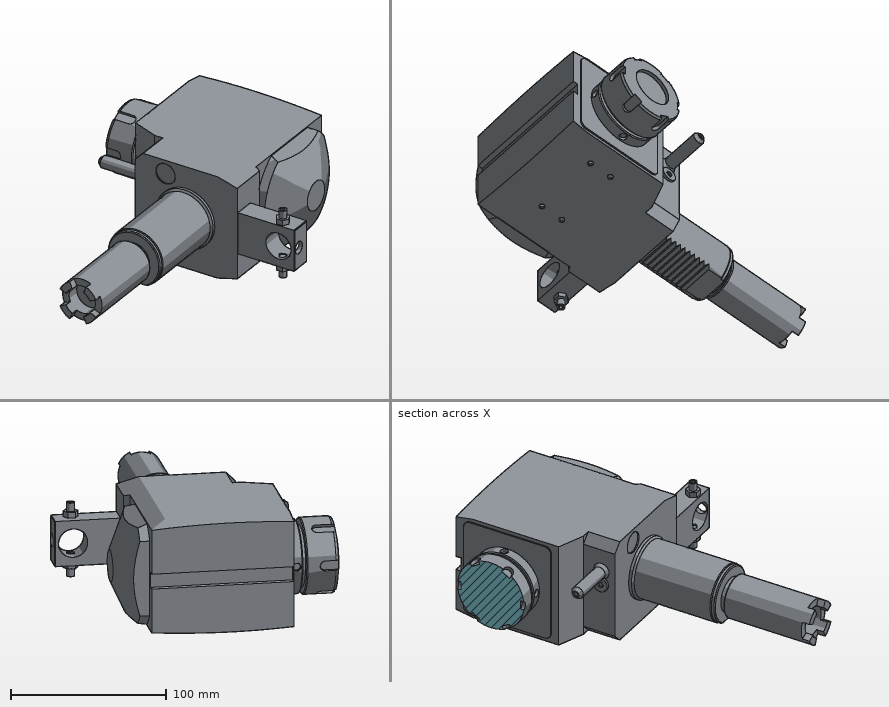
import cadquery as cq
import math

SPINDLE_Y = 68.9

HALF_HEIGHT = 37.6
BODY_LEFT = -58.1
BODY_RIGHT = 35.0
BODY_BACK = 107.7
FOOT_LEFT = -39.0
FOOT_TOP = 23.5
FLANK_TOP = 30.7
FLANGE_RIGHT = 38.8
FLANGE_TOP = 26.7
FLANGE_SLOPE_TOP = 28.8
FOOT_CHAMFER = 6.2
SIDE_SLOPE = 0.27
SIDE_SLOPE_START = 23.8
BACK_ARC_RADIUS = 107.2
BACK_ARC_TOP = 103.2
BACK_SLOPE = 0.19
BACK_SLOT_WIDTH = 10.0
BACK_SLOT_DEPTH = 3.8
PLATE_THICKNESS = 1.0
PLATE_LENGTH = 65.3
PLATE_HEIGHT = 70.0
PLATE_CORNER = 4.5
PLUG_X = -16.0
PLUG_Z = 27.6
PLUG_RADIUS = 7.5
PLUG_DEPTH = 1.0

RIVET_CENTRE_X = -16.7
RIVET_SPACING_X = 47.5
RIVET_SPACING_Y = 17.0
RIVET_RADIUS = 2.0
RIVET_TIP_RADIUS = 1.0
RIVET_HEIGHT = 1.5

CAP_RADIUS = 40.3
CAP_EDGE = 41.5
CAP_END = 55.3
CAP_END_RADIUS = 10.5
CAP_FLAT_Y = 100.3
CAP_INSET = 0.7

NUT_TIP = -91.2
NUT_RIM = -89.8
NUT_SHOULDER = -88.2
NUT_BACK = -69.0
NUT_RADIUS = 25.0
NUT_FACE_RADIUS = 18.0
NUT_RIM_RADIUS = 24.3
NUT_BORE_RADIUS = 13.8
NUT_BORE_DEPTH = 2.5
NUT_SLOTS = 6
NUT_SLOT_WIDTH = 6.7
NUT_SLOT_END = -78.0
NUT_UPPER_SLOT_END = -74.5
NUT_SLOT_FLOOR = 22.5
NUT_CHAMFER = 0.7
NECK_RADIUS = 20.3
RING_FRONT = -66.7
RING_RADIUS = 24.3
RING_HOLES = 4
RING_HOLE_X = -62.7
RING_HOLE_RADIUS = 2.6
RING_HOLE_DEPTH = 2.5

PIN_Y = 10.0
PIN_Z = 15.5
PIN_TIP = -71.7
PIN_RADIUS = 4.3
PIN_TIP_RADIUS = 2.5
PIN_TIP_LENGTH = 2.5
PIN_COLLAR_RADIUS = 5.7
PIN_COLLAR_LENGTH = 2.6
SCREW_Z = 5.7
SCREW_RADIUS = 5.2
SCREW_HEIGHT = 1.7
HEX_SIZE = 4.3
HEX_DEPTH = 1.5

COLLAR_RADIUS = 21.7
COLLAR_LENGTH = 2.1
COLLAR_TAPER_END = 3.3
SHANK_RADIUS = 20.3
SHANK_LENGTH = 63.4
SHANK_LAND = 60.0
SHANK_CHAMFER = 0.7
SHANK_END_RADIUS = 19.8
NECK_LENGTH = 67.0
SHANK_NECK_RADIUS = 12.2
DRIVE_RADIUS = 15.0
DRIVE_SLOT_DEPTH = 5.2
DRIVE_CHAMFER = 0.7
DRIVE_LENGTH = 130.5
DRIVE_BORE_RADIUS = 10.0
DRIVE_BORE_DEPTH = 14.3
DRIVE_SLOTS = 4
DRIVE_SLOT_HALF_ANGLE = 25
FLAT_Z = -16.7
FLAT_START = 8.8
FLAT_RAMP = 3.0
TOOTH_PITCH = 4.0
TOOTH_DEPTH = 2.0
TOOTH_COUNT = 10

ARM_RIGHT = 82.0
ARM_HALF_HEIGHT = 15.2
ARM_FRONT = 0.7
ARM_BACK = 15.7
ARM_CHAMFER = 0.5
ARM_HOLE_X = 69.8
ARM_HOLE_RADIUS = 9.5
SET_SCREW_Y = 6.0
SET_SCREW_RADIUS = 2.6
SET_SCREW_TIP = 24.8
LOCKNUT_ACROSS_CORNERS = 9.5
LOCKNUT_TOP = 19.0
SET_SCREW_INNER_END = 10.2
SET_SCREW_HEX = 3.3
SET_SCREW_HEX_DEPTH = 2.9
ARM_END_HOLE_RADIUS = 4.3


def turned_along_x(points, y, z):
    """Revolve (x, radius) points about the line parallel to X through (y, z)."""
    profile = cq.Workplane("XY").polyline(points).close()
    return profile.revolve(360, (0, 0, 0), (1, 0, 0)).translate((0, y, z))


def box_between(x0, x1, y0, y1, z0, z1):
    return cq.Workplane("XY").box(x1 - x0, y1 - y0, z1 - z0, centered=False).translate((x0, y0, z0))


def side_wedge(inset):
    """Y-long prism whose upper and lower faces slope inward toward +X."""
    top = HALF_HEIGHT - inset
    reach = top / SIDE_SLOPE
    profile = [
        (BODY_LEFT, top),
        (SIDE_SLOPE_START, top),
        (SIDE_SLOPE_START + reach, 0),
        (SIDE_SLOPE_START, -top),
        (BODY_LEFT, -top),
    ]
    return cq.Workplane("XZ").polyline(profile).close().extrude(-BODY_BACK)


def back_cone():
    """Double cone that gives the rear edges of the body their curved bevel."""
    reach = BACK_ARC_RADIUS + HALF_HEIGHT / BACK_SLOPE
    profile = [
        (0, -HALF_HEIGHT),
        (BACK_ARC_RADIUS, -HALF_HEIGHT),
        (reach, 0),
        (BACK_ARC_RADIUS, HALF_HEIGHT),
        (0, HALF_HEIGHT),
    ]
    cone = cq.Workplane("XZ").polyline(profile).close().revolve(360, (0, 0, 0), (0, 1, 0))
    centre_x = (BODY_LEFT + SIDE_SLOPE_START) / 2
    return cone.translate((centre_x, BACK_ARC_TOP - BACK_ARC_RADIUS, 0))


def make_body():
    outline = [
        (FOOT_LEFT, 0),
        (FLANGE_RIGHT, 0),
        (FLANGE_RIGHT, FLANGE_TOP),
        (BODY_RIGHT, FLANGE_SLOPE_TOP),
        (BODY_RIGHT, BODY_BACK),
        (BODY_LEFT, BODY_BACK),
        (BODY_LEFT, FLANK_TOP),
        (FOOT_LEFT, FOOT_TOP),
    ]
    body = cq.Workplane("XY").polyline(outline).close().extrude(HALF_HEIGHT, both=True)
    body = body.intersect(side_wedge(0)).intersect(back_cone())

    for side in (1, -1):
        edge = side * HALF_HEIGHT
        corner = [
            (FOOT_LEFT, edge),
            (FOOT_LEFT + FOOT_CHAMFER, edge),
            (FOOT_LEFT, edge - side * FOOT_CHAMFER),
        ]
        body = body.cut(cq.Workplane("XZ").polyline(corner).close().extrude(-FOOT_TOP))

    half_slot = BACK_SLOT_WIDTH / 2
    body = body.cut(
        box_between(BODY_LEFT, BODY_RIGHT, BODY_BACK - BACK_SLOT_DEPTH, BODY_BACK, -half_slot, half_slot)
    )
    plug = cq.Workplane("XZ").center(PLUG_X, PLUG_Z).circle(PLUG_RADIUS).extrude(-PLUG_DEPTH)
    body = body.cut(plug)

    plate = (
        cq.Workplane("YZ", origin=(BODY_LEFT, SPINDLE_Y, 0))
        .rect(PLATE_LENGTH, PLATE_HEIGHT)
        .extrude(-PLATE_THICKNESS)
        .edges("|X")
        .fillet(PLATE_CORNER)
    )
    return body.union(plate)


def make_rivets():
    rivets = (
        cq.Workplane("XY", origin=(RIVET_CENTRE_X, SPINDLE_Y, -HALF_HEIGHT))
        .rarray(RIVET_SPACING_X, RIVET_SPACING_Y, 2, 2)
        .circle(RIVET_RADIUS)
        .extrude(-RIVET_HEIGHT)
    )
    return rivets.faces("<Z").chamfer(RIVET_RADIUS - RIVET_TIP_RADIUS)


def make_cap():
    profile = [
        (BODY_RIGHT, 0),
        (BODY_RIGHT, CAP_RADIUS),
        (CAP_EDGE, CAP_RADIUS),
        (CAP_END, CAP_END_RADIUS),
        (CAP_END, 0),
    ]
    cap = turned_along_x(profile, SPINDLE_Y, 0)
    cap = cap.intersect(side_wedge(CAP_INSET))
    return cap.intersect(box_between(BODY_RIGHT, CAP_END, 0, CAP_FLAT_Y, -HALF_HEIGHT, HALF_HEIGHT))


def nut_slot(end):
    """Round-ended wrench slot on the -Y side of the nut, running from the tip to x = end."""
    slot_round = NUT_SLOT_WIDTH / 2
    return (
        cq.Workplane("XZ", origin=(0, -NUT_SLOT_FLOOR, 0))
        .moveTo(NUT_TIP, -slot_round)
        .lineTo(end - slot_round, -slot_round)
        .threePointArc((end, 0), (end - slot_round, slot_round))
        .lineTo(NUT_TIP, slot_round)
        .close()
        .extrude(NUT_RADIUS)
    )


def make_collet_nut():
    profile = [
        (BODY_LEFT, 0),
        (BODY_LEFT, RING_RADIUS),
        (RING_FRONT + NUT_CHAMFER, RING_RADIUS),
        (RING_FRONT, RING_RADIUS - NUT_CHAMFER),
        (RING_FRONT, NECK_RADIUS),
        (NUT_BACK, NECK_RADIUS),
        (NUT_BACK, NUT_RADIUS - NUT_CHAMFER),
        (NUT_BACK - NUT_CHAMFER, NUT_RADIUS),
        (NUT_SHOULDER, NUT_RADIUS),
        (NUT_RIM, NUT_RIM_RADIUS),
        (NUT_TIP, NUT_FACE_RADIUS),
        (NUT_TIP, NUT_BORE_RADIUS),
        (NUT_TIP + NUT_BORE_DEPTH, NUT_BORE_RADIUS),
        (NUT_TIP + NUT_BORE_DEPTH, 0),
    ]
    nut = turned_along_x(profile, 0, 0)

    for i in range(NUT_SLOTS):
        angle = i * 360 / NUT_SLOTS
        opens_upward = 180 < angle < 360
        slot = nut_slot(NUT_UPPER_SLOT_END if opens_upward else NUT_SLOT_END)
        nut = nut.cut(slot.rotate((0, 0, 0), (1, 0, 0), angle))

    hole = (
        cq.Workplane("XZ", origin=(0, RING_HOLE_DEPTH - RING_RADIUS, 0))
        .center(RING_HOLE_X, 0)
        .circle(RING_HOLE_RADIUS)
        .extrude(RING_RADIUS)
    )
    for i in range(RING_HOLES):
        nut = nut.cut(hole.rotate((0, 0, 0), (1, 0, 0), i * 360 / RING_HOLES))
    return nut.translate((0, SPINDLE_Y, 0))


def hex_socket_along_x(x, z):
    hexagon = cq.Workplane("YZ", origin=(x, PIN_Y, z)).polygon(6, HEX_SIZE)
    return hexagon.extrude(HEX_DEPTH)


def make_coolant_pin():
    collar_start = FOOT_LEFT - PIN_COLLAR_LENGTH
    profile = [
        (FOOT_LEFT, 0),
        (FOOT_LEFT, PIN_COLLAR_RADIUS),
        (collar_start, PIN_RADIUS),
        (PIN_TIP + PIN_TIP_LENGTH, PIN_RADIUS),
        (PIN_TIP, PIN_TIP_RADIUS),
        (PIN_TIP, 0),
    ]
    pin = turned_along_x(profile, PIN_Y, PIN_Z)
    screw_face = FOOT_LEFT - SCREW_HEIGHT
    screw_plane = cq.Workplane("YZ", origin=(screw_face, PIN_Y, SCREW_Z))
    screw = screw_plane.circle(SCREW_RADIUS).extrude(SCREW_HEIGHT)
    screw = screw.cut(hex_socket_along_x(screw_face, SCREW_Z))
    return pin.cut(hex_socket_along_x(PIN_TIP, PIN_Z)).union(screw)


def make_shank():
    profile = [
        (0, 0),
        (COLLAR_RADIUS, 0),
        (COLLAR_RADIUS, -COLLAR_LENGTH),
        (SHANK_RADIUS, -COLLAR_TAPER_END),
        (SHANK_RADIUS, -SHANK_LAND),
        (SHANK_END_RADIUS, -SHANK_LAND - SHANK_CHAMFER),
        (SHANK_END_RADIUS, SHANK_CHAMFER - SHANK_LENGTH),
        (SHANK_END_RADIUS - SHANK_CHAMFER, -SHANK_LENGTH),
        (SHANK_NECK_RADIUS, -SHANK_LENGTH),
        (SHANK_NECK_RADIUS, -NECK_LENGTH),
        (DRIVE_RADIUS - DRIVE_CHAMFER, -NECK_LENGTH),
        (DRIVE_RADIUS, -NECK_LENGTH - DRIVE_CHAMFER),
        (DRIVE_RADIUS, -DRIVE_LENGTH),
        (DRIVE_BORE_RADIUS, -DRIVE_LENGTH),
        (DRIVE_BORE_RADIUS, DRIVE_BORE_DEPTH - DRIVE_LENGTH),
        (0, DRIVE_BORE_DEPTH - DRIVE_LENGTH),
    ]
    shank = cq.Workplane("XY").polyline(profile).close().revolve(360, (0, 0, 0), (0, 1, 0))

    slot_reach = 2 * DRIVE_RADIUS
    slot_spread = slot_reach * math.tan(math.radians(DRIVE_SLOT_HALF_ANGLE))
    slot = (
        cq.Workplane("XZ", origin=(0, -DRIVE_LENGTH, 0))
        .polyline([(0, 0), (slot_reach, -slot_spread), (slot_reach, slot_spread)])
        .close()
        .extrude(-DRIVE_SLOT_DEPTH)
    )
    for i in range(DRIVE_SLOTS):
        shank = shank.cut(slot.rotate((0, 0, 0), (0, 1, 0), i * 360 / DRIVE_SLOTS))
    return shank.cut(make_serrated_flat())


def make_serrated_flat():
    """Material removed below the shank: a flat with a row of V grooves."""
    ramp_drop = COLLAR_RADIUS + FLAT_Z
    points = [
        (-SHANK_LENGTH, -COLLAR_RADIUS),
        (-SHANK_LENGTH, FLAT_Z),
    ]
    for i in reversed(range(TOOTH_COUNT)):
        groove_start = -FLAT_START - i * TOOTH_PITCH
        points.append((groove_start - TOOTH_PITCH, FLAT_Z))
        points.append((groove_start - TOOTH_PITCH / 2, FLAT_Z + TOOTH_DEPTH))
    points.append((-FLAT_START, FLAT_Z))
    points.append((-FLAT_START + FLAT_RAMP, FLAT_Z - ramp_drop))
    return cq.Workplane("YZ").polyline(points).close().extrude(SHANK_RADIUS, both=True)


def make_arm():
    arm = box_between(BODY_RIGHT, ARM_RIGHT, ARM_FRONT, ARM_BACK, -ARM_HALF_HEIGHT, ARM_HALF_HEIGHT)
    arm = arm.faces(">X").chamfer(ARM_CHAMFER)
    for side in (1, -1):
        screw_height = side * (SET_SCREW_TIP - ARM_HALF_HEIGHT)
        seat = cq.Workplane("XY", origin=(ARM_HOLE_X, SET_SCREW_Y, side * ARM_HALF_HEIGHT))
        arm = arm.union(seat.circle(SET_SCREW_RADIUS).extrude(screw_height))
        locknut_height = side * (LOCKNUT_TOP - ARM_HALF_HEIGHT)
        arm = arm.union(seat.polygon(6, LOCKNUT_ACROSS_CORNERS).extrude(locknut_height))
        tip = cq.Workplane("XY", origin=(ARM_HOLE_X, SET_SCREW_Y, side * SET_SCREW_TIP))
        arm = arm.cut(tip.polygon(6, SET_SCREW_HEX).extrude(-side * SET_SCREW_HEX_DEPTH))
    hole = cq.Workplane("XZ").center(ARM_HOLE_X, 0).circle(ARM_HOLE_RADIUS).extrude(-ARM_BACK)
    arm = arm.cut(hole)

    screw_bore = (
        cq.Workplane("XY", origin=(ARM_HOLE_X, SET_SCREW_Y, 0))
        .circle(SET_SCREW_RADIUS)
        .extrude(SET_SCREW_INNER_END, both=True)
    )
    end_hole = (
        cq.Workplane("YZ", origin=(ARM_HOLE_X, SET_SCREW_Y, 0))
        .circle(ARM_END_HOLE_RADIUS)
        .extrude(ARM_RIGHT - ARM_HOLE_X)
    )
    return arm.cut(screw_bore).cut(end_hole)


result = make_body()
for feature in (
    make_rivets(),
    make_cap(),
    make_collet_nut(),
    make_coolant_pin(),
    make_shank(),
    make_arm(),
):
    result = result.union(feature)